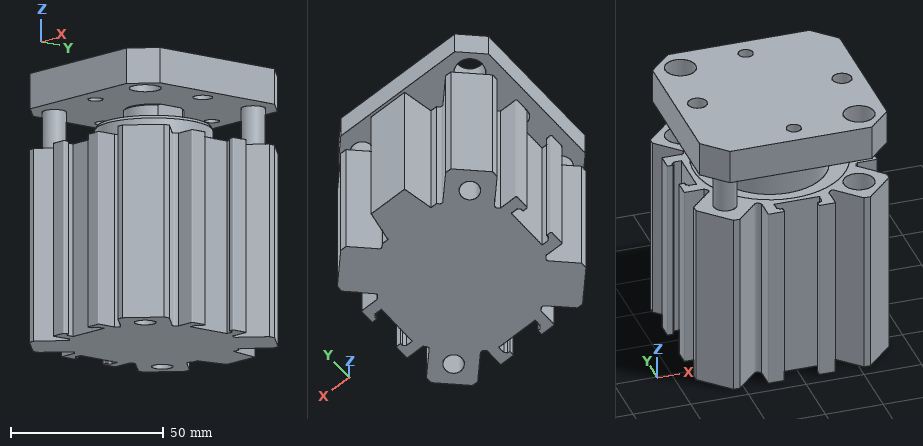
import cadquery as cq


HOUSING_HEIGHT = 65.0
COLLAR_HEIGHT = 8.0
PLATE_THICKNESS = 12.0
TOTAL_HEIGHT = 91.0
COLLAR_TOP = HOUSING_HEIGHT + COLLAR_HEIGHT
PLATE_BOTTOM = TOTAL_HEIGHT - PLATE_THICKNESS

HOUSING_WIDTH = 67.0
HOUSING_HALF = HOUSING_WIDTH / 2
LUG_CORNER = 23.75
LUG_EDGE = 21.5
LUG_WALL_OFFSET = HOUSING_HALF - LUG_EDGE
GAP_BOTTOM = 13.1
GAP_FILLET = 1.0
RIB_OUTER = 11.65
RIB_INNER = 6.0
RIB_FILLET = 0.4
LIP_THICKNESS = 2.0
LIP_EDGE = 6.9
SLOT_HALF = 7.8
SLOT_FLOOR = 28.0
LIP_BEVEL = SLOT_HALF - LIP_EDGE
GAP_DEPTH = GAP_BOTTOM + LUG_WALL_OFFSET
RIB_FOOT = GAP_DEPTH + GAP_BOTTOM - RIB_OUTER

HOUSING_LENGTH = 71.0
BOSS_TOP = HOUSING_LENGTH - HOUSING_HALF
BOSS_TOP_HALF = 7.2
BOSS_BASE_HALF = 9.3

COLLAR_DIAMETER = 39.0
RECESS_DIAMETER = 52.5
RECESS_DEPTH = 2.0
COLLAR_CHAMFER_HEIGHT = 1.0
COLLAR_CHAMFER_WIDTH = 0.55

ROD_DIAMETER = 20.0
ROD_ACROSS_FLATS = 17.0
ROD_FLAT_BOTTOM = 74.5
ROD_CHAMFER = 0.5
GUIDE_DIAMETER = 8.0
CORNER_PITCH = 23.2

PLATE_SIDE = 65.0
PLATE_CHAMFER = 7.9
PLATE_HOLE_PITCH = 25.0
WIDE_HOLE_DIAMETER = 6.5
NARROW_HOLE_DIAMETER = 4.9

MOUNT_DIAMETER = 7.0
MOUNT_BORE_DIAMETER = 10.5
MOUNT_BORE_DEPTH = 6.5

GUIDE_PLACES = [(-CORNER_PITCH, -CORNER_PITCH), (CORNER_PITCH, CORNER_PITCH)]
MOUNT_PLACES = [(-CORNER_PITCH, CORNER_PITCH), (CORNER_PITCH, -CORNER_PITCH)]


def lug_gap_points():
    """Outline of one gap side, as (along, outward): lug corner, lug wall, floor and rib foot."""
    return [
        (LUG_CORNER, HOUSING_HALF),
        (LUG_EDGE, HOUSING_HALF),
        (GAP_BOTTOM, GAP_DEPTH),
        (RIB_OUTER, RIB_FOOT),
    ]


def slotted_side():
    """Half of a side that carries a T-slot between two hooked ribs."""
    lip_bottom = HOUSING_HALF - LIP_THICKNESS
    return lug_gap_points() + [
        (RIB_OUTER, HOUSING_HALF),
        (RIB_INNER, HOUSING_HALF),
        (RIB_INNER, lip_bottom),
        (LIP_EDGE, lip_bottom),
        (SLOT_HALF, lip_bottom - LIP_BEVEL),
        (SLOT_HALF, SLOT_FLOOR),
    ]


def boss_side():
    """Half of the side that carries the tapered port boss."""
    return lug_gap_points() + [
        (BOSS_BASE_HALF, RIB_FOOT),
        (BOSS_TOP_HALF, BOSS_TOP),
    ]


def whole_side(half):
    """Completes a half side by mirroring it, running from + to - along the side."""
    return half + [(-along, outward) for along, outward in reversed(half)]


def housing_outline():
    """Profile points, counterclockwise from the +X end of the +Y side."""
    slotted = whole_side(slotted_side())
    plus_y = whole_side(boss_side())
    minus_x = [(-outward, along) for along, outward in slotted]
    minus_y = [(-along, -outward) for along, outward in slotted]
    plus_x = [(outward, -along) for along, outward in slotted]
    return plus_y + minus_x + minus_y + plus_x


def gap_foot_places():
    """Positions of the eight vertical edges at the feet of the lug walls."""
    signs = (-1, 1)
    return [
        place
        for sx in signs
        for sy in signs
        for place in (
            (sx * GAP_BOTTOM, sy * GAP_DEPTH),
            (sx * GAP_DEPTH, sy * GAP_BOTTOM),
        )
    ]


def rib_corner_places():
    """Positions of the vertical edges along the outer faces of the six ribs."""
    corners = (-RIB_OUTER, -RIB_INNER, RIB_INNER, RIB_OUTER)
    return [
        place
        for along in corners
        for place in (
            (-HOUSING_HALF, along),
            (HOUSING_HALF, along),
            (along, -HOUSING_HALF),
        )
    ]


def fillet_upright_edges(body, places, radius):
    """Rounds the vertical edge of the body at each place."""
    reach = radius / 2
    for x, y in places:
        around_edge = cq.selectors.BoxSelector(
            (x - reach, y - reach, 0),
            (x + reach, y + reach, HOUSING_HEIGHT),
        )
        body = body.edges("|Z").edges(around_edge).fillet(radius)
    return body


def make_profile():
    profile = cq.Workplane("XY").polyline(housing_outline()).close().extrude(HOUSING_HEIGHT)
    profile = fillet_upright_edges(profile, gap_foot_places(), GAP_FILLET)
    return fillet_upright_edges(profile, rib_corner_places(), RIB_FILLET)


def make_collar():
    return (
        cq.Workplane("XY", origin=(0, 0, HOUSING_HEIGHT - RECESS_DEPTH))
        .circle(COLLAR_DIAMETER / 2)
        .extrude(RECESS_DEPTH + COLLAR_HEIGHT)
        .faces(">Z")
        .chamfer(COLLAR_CHAMFER_HEIGHT, COLLAR_CHAMFER_WIDTH)
    )


def make_housing():
    recess = (
        cq.Workplane("XY", origin=(0, 0, HOUSING_HEIGHT))
        .circle(RECESS_DIAMETER / 2)
        .extrude(-RECESS_DEPTH)
    )
    mount_holes = (
        cq.Workplane("XY").pushPoints(MOUNT_PLACES).circle(MOUNT_DIAMETER / 2).extrude(HOUSING_HEIGHT)
    )
    counterbores = (
        cq.Workplane("XY", origin=(0, 0, HOUSING_HEIGHT))
        .pushPoints(MOUNT_PLACES)
        .circle(MOUNT_BORE_DIAMETER / 2)
        .extrude(-MOUNT_BORE_DEPTH)
    )
    return make_profile().cut(recess).union(make_collar()).cut(mount_holes).cut(counterbores)


def make_plate():
    plate = (
        cq.Workplane("XY", origin=(0, 0, PLATE_BOTTOM))
        .rect(PLATE_SIDE, PLATE_SIDE)
        .extrude(PLATE_THICKNESS)
        .edges("|Z")
        .chamfer(PLATE_CHAMFER)
    )
    hole_sets = [
        (MOUNT_BORE_DIAMETER, MOUNT_PLACES),
        (WIDE_HOLE_DIAMETER, [(-PLATE_HOLE_PITCH, 0), (PLATE_HOLE_PITCH, 0)]),
        (NARROW_HOLE_DIAMETER, [(0, -PLATE_HOLE_PITCH), (0, PLATE_HOLE_PITCH)]),
    ]
    for diameter, places in hole_sets:
        plate = plate.faces(">Z").workplane(origin=(0, 0, TOTAL_HEIGHT)).pushPoints(places).hole(diameter)
    return plate


def make_piston_rod():
    """Piston rod above the collar, with two wrench flats facing -X and +X."""
    rod = (
        cq.Workplane("XY", origin=(0, 0, COLLAR_TOP))
        .circle(ROD_DIAMETER / 2)
        .extrude(PLATE_BOTTOM - COLLAR_TOP)
        .faces(">Z")
        .chamfer(ROD_CHAMFER)
    )
    flat_depth = (ROD_DIAMETER - ROD_ACROSS_FLATS) / 2
    flat_middle = (ROD_DIAMETER + ROD_ACROSS_FLATS) / 4
    flats = (
        cq.Workplane("XY", origin=(0, 0, ROD_FLAT_BOTTOM))
        .pushPoints([(-flat_middle, 0), (flat_middle, 0)])
        .rect(flat_depth, ROD_DIAMETER)
        .extrude(PLATE_BOTTOM - ROD_FLAT_BOTTOM)
    )
    return rod.cut(flats)


def make_moving_unit():
    guide_rods = (
        cq.Workplane("XY", origin=(0, 0, HOUSING_HEIGHT))
        .pushPoints(GUIDE_PLACES)
        .circle(GUIDE_DIAMETER / 2)
        .extrude(PLATE_BOTTOM - HOUSING_HEIGHT)
    )
    return make_plate().union(make_piston_rod()).union(guide_rods)


housing = make_housing()
moving_unit = make_moving_unit()

result = cq.Compound.makeCompound([housing.val(), moving_unit.val()])